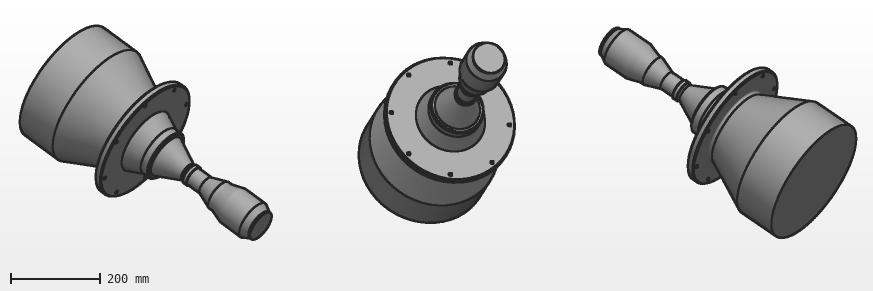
import cadquery as cq

length = 594.0
body_diameter = 300.0
body_radius = body_diameter / 2

drum_end = 100.0
neck_start = 220.0
neck_radius = 93.0
neck_fillet = 5.0

flange_start = 227.5
flange_thickness = 18.0
flange_end = flange_start + flange_thickness
flange_chamfer = 2.5
hole_count = 8
hole_diameter = 7.0
hole_circle_radius = 136.5

rear_cone_radius = 80.0
collar_start = 286.0
collar_end = 308.0
collar_radius = 62.0
collar_chamfer = 3.0

taper_radius = 52.0
stem_start = 372.5
stem_end = 427.5
stem_radius = 22.5
ring_start = 379.5
ring_end = 391.0
ring_radius = 25.0

band_start = 467.5
band_end = 478.0
band_radius = 37.0
bulb_start = 510.0
bulb_end = 571.0
bulb_radius = 47.0
tip_start = 589.0
tip_radius = 37.0


def turned_body():
    """Revolve the half profile about the X axis."""
    profile = (
        cq.Workplane("XZ")
        .lineTo(0, body_radius)
        .lineTo(drum_end, body_radius)
        .lineTo(neck_start, neck_radius)
        .lineTo(flange_start - neck_fillet, neck_radius)
        .radiusArc((flange_start, neck_radius + neck_fillet), -neck_fillet)
        .lineTo(flange_start, body_radius - flange_chamfer)
        .lineTo(flange_start + flange_chamfer, body_radius)
        .lineTo(flange_end - flange_chamfer, body_radius)
        .lineTo(flange_end, body_radius - flange_chamfer)
        .lineTo(flange_end, rear_cone_radius)
        .lineTo(collar_start, collar_radius)
        .lineTo(collar_end - collar_chamfer, collar_radius)
        .lineTo(collar_end, collar_radius - collar_chamfer)
        .lineTo(collar_end, taper_radius)
        .lineTo(stem_start, stem_radius)
        .lineTo(ring_start, stem_radius)
        .lineTo(ring_start, ring_radius)
        .lineTo(ring_end, ring_radius)
        .lineTo(ring_end, stem_radius)
        .lineTo(stem_end, stem_radius)
        .lineTo(band_start, band_radius)
        .lineTo(band_end, band_radius)
        .lineTo(bulb_start, bulb_radius)
        .lineTo(bulb_end, bulb_radius)
        .lineTo(tip_start, tip_radius)
        .lineTo(length, tip_radius)
        .lineTo(length, 0)
        .close()
    )
    return profile.revolve(360, (0, 0, 0), (1, 0, 0))


def flange_holes():
    """Ring of through holes near the flange rim."""
    return (
        cq.Workplane("YZ", origin=(flange_start, 0, 0))
        .polarArray(hole_circle_radius, 0, 360, hole_count)
        .circle(hole_diameter / 2)
        .extrude(flange_thickness)
    )


result = turned_body().cut(flange_holes())